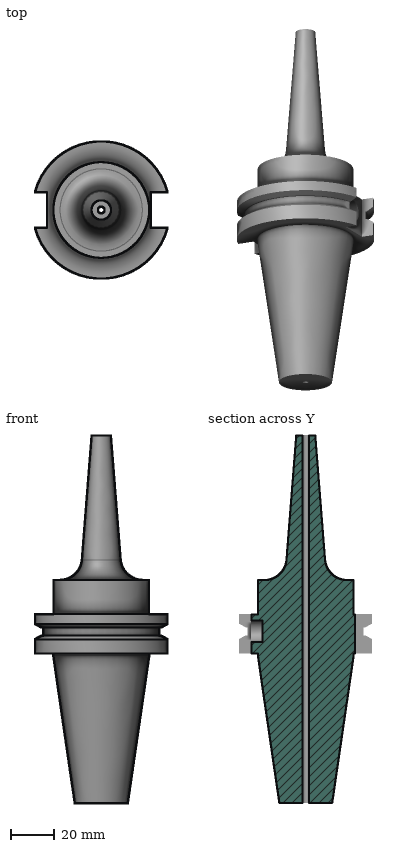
import cadquery as cq
import math


gauge_radius = 44.45 / 2
shank_length = 68.25
shank_taper = 7 / 24
shank_end_radius = gauge_radius - shank_length * shank_taper / 2

flange_radius = 63.5 / 2
flange_bottom = 0.95
flange_top = 19.1
groove_center = 11.1
groove_floor_width = 3.75
groove_floor_radius = 56.2 / 2
groove_step = 0.75
groove_flank_angle = 30

collar_radius = 44.2 / 2
collar_top = 35.0
total_length = 169.85
nose_top = total_length - shank_length
nose_tip_radius = 4.5
nose_half_angle = 4.5
nose_fillet = 10.0
bore_diameter = 3.0

slot_width = 16.38
slot_floor_left = 25.1
slot_floor_right = 22.9

pocket_diameter = 9.6
pocket_depth = 5.0
pocket_height = 11.2


def make_body():
    """Revolve the half profile of the holder around Z."""
    groove_rim_radius = groove_floor_radius + groove_step
    flank_height = (flange_radius - groove_rim_radius) * math.tan(math.radians(groove_flank_angle))
    floor_low = groove_center - groove_floor_width / 2
    floor_high = groove_center + groove_floor_width / 2

    lean = math.radians(nose_half_angle)
    fillet_end_z = collar_top + nose_fillet * (1 - math.sin(lean))
    fillet_end_radius = nose_tip_radius + (nose_top - fillet_end_z) * math.tan(lean)
    fillet_center_radius = fillet_end_radius + nose_fillet * math.cos(lean)
    middle = (math.pi / 2 + lean) / 2
    fillet_middle = (
        fillet_center_radius - nose_fillet * math.sin(middle),
        collar_top + nose_fillet * (1 - math.cos(middle)),
    )

    profile = (
        cq.Workplane("XZ")
        .moveTo(0, -shank_length)
        .lineTo(shank_end_radius, -shank_length)
        .lineTo(gauge_radius, 0)
        .lineTo(gauge_radius, flange_bottom)
        .lineTo(flange_radius, flange_bottom)
        .lineTo(flange_radius, floor_low - flank_height)
        .lineTo(groove_rim_radius, floor_low)
        .lineTo(groove_floor_radius, floor_low)
        .lineTo(groove_floor_radius, floor_high)
        .lineTo(groove_rim_radius, floor_high)
        .lineTo(flange_radius, floor_high + flank_height)
        .lineTo(flange_radius, flange_top)
        .lineTo(collar_radius, flange_top)
        .lineTo(collar_radius, collar_top)
        .lineTo(fillet_center_radius, collar_top)
        .threePointArc(fillet_middle, (fillet_end_radius, fillet_end_z))
        .lineTo(nose_tip_radius, nose_top)
        .lineTo(0, nose_top)
        .close()
    )
    return profile.revolve(360, (0, 0, 0), (0, 1, 0))


def make_slot(side, floor_distance):
    """Drive slot through the flange height; side is +1 or -1 along X."""
    depth = flange_radius - floor_distance
    height = flange_top - flange_bottom
    return cq.Workplane("XY").box(depth, slot_width, height).translate(
        (side * (floor_distance + depth / 2), 0, flange_bottom + height / 2)
    )


def make_pocket():
    """Blind round pocket running in +X from the floor of the -X slot."""
    return (
        cq.Workplane("YZ", origin=(-slot_floor_left, 0, pocket_height))
        .circle(pocket_diameter / 2)
        .extrude(pocket_depth)
    )


def make_bore():
    """Coolant bore along the whole axis."""
    return (
        cq.Workplane("XY", origin=(0, 0, -shank_length))
        .circle(bore_diameter / 2)
        .extrude(total_length)
    )


result = (
    make_body()
    .cut(make_slot(-1, slot_floor_left))
    .cut(make_slot(1, slot_floor_right))
    .cut(make_pocket())
    .cut(make_bore())
)